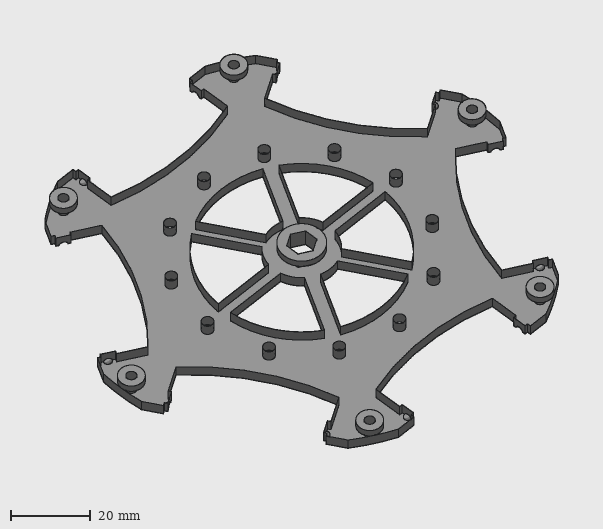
import cadquery as cq
import math

plate_thickness = 3.17
boss_height = 2.0
outer_radius = 65.0
arm_count = 6
arm_pitch = 360.0 / arm_count

bay_half_width = 21.0
bay_corner_y = 46.06
bay_floor_y = 42.9
arm_end_y = 59.3

pad_offset = 0.9
pad_inner_y = 54.3
pad_outer_y = 58.3

dimple_radius = 1.2
dimple_center_z = -0.25

window_radius = 28.0
hub_radius = 10.0
spoke_width = 4.2
hub_boss_radius = 6.25
hex_across_flats = 6.8
hex_sides = 6

arm_boss_center_radius = 61.5
arm_boss_radius = outer_radius - arm_boss_center_radius
arm_hole_diameter = 2.8
rim_hole_count = 12
rim_hole_circle_radius = 34.0
rim_hole_diameter = 3.2


def around_axis(shape):
    """Union of copies of a shape, one per arm, turned about Z."""
    copies = shape
    for index in range(1, arm_count):
        turned = shape.rotate((0, 0, 0), (0, 0, 1), index * arm_pitch)
        copies = copies.union(turned)
    return copies


def make_bay():
    """Cutter for one bay: concave floor, parallel flanks and straight arm ends."""
    end_x = math.sqrt(outer_radius**2 - arm_end_y**2)
    return (
        cq.Workplane("XY")
        .moveTo(-bay_half_width, bay_corner_y)
        .threePointArc((0, bay_floor_y), (bay_half_width, bay_corner_y))
        .lineTo(bay_half_width, arm_end_y)
        .lineTo(end_x, arm_end_y)
        .lineTo(end_x, outer_radius)
        .lineTo(-end_x, outer_radius)
        .lineTo(-end_x, arm_end_y)
        .lineTo(-bay_half_width, arm_end_y)
        .close()
        .extrude(plate_thickness)
    )


def make_pad(side):
    """Pad on one flank of the +Y bay; side is -1 or +1."""
    return (
        cq.Workplane("XY")
        .center(side * (bay_half_width - pad_offset / 2), (pad_inner_y + pad_outer_y) / 2)
        .rect(pad_offset, pad_outer_y - pad_inner_y)
        .extrude(plate_thickness)
    )


def make_dimple(side):
    """Ball cutter sunk into one pad face of the +Y bay, breaking out through the underside."""
    pad_face_x = bay_half_width - pad_offset
    pad_middle_y = (pad_inner_y + pad_outer_y) / 2
    ball = cq.Workplane("XY").sphere(dimple_radius)
    return ball.translate((side * pad_face_x, pad_middle_y, dimple_center_z))


def make_outline():
    """Solid six-armed plate with its pads and dimples."""
    plate = cq.Workplane("XY").circle(outer_radius).extrude(plate_thickness)
    plate = plate.cut(around_axis(make_bay()))
    for side in (-1, 1):
        plate = plate.union(around_axis(make_pad(side)))
        plate = plate.cut(around_axis(make_dimple(side)))
    return plate


def make_window():
    """Cutter for the openings between the rim, the spokes and the hub."""
    opening = cq.Workplane("XY").circle(window_radius).circle(hub_radius).extrude(plate_thickness)
    spoke = (
        cq.Workplane("XY")
        .center(window_radius / 2, 0)
        .rect(window_radius + spoke_width, spoke_width)
        .extrude(plate_thickness)
    )
    return opening.cut(around_axis(spoke))


def add_bosses(plate):
    """Hub boss and one boss at the end of every arm, standing on the plate."""
    top = cq.Workplane("XY").workplane(offset=plate_thickness)
    hub_boss = top.circle(hub_boss_radius).extrude(boss_height)
    arm_boss = top.center(arm_boss_center_radius, 0).circle(arm_boss_radius).extrude(boss_height)
    return plate.union(hub_boss).union(around_axis(arm_boss))


def cut_holes(body):
    """Hex bore with corners toward +Y and -Y, arm boss holes and the ring of rim holes, all through."""
    height = plate_thickness + boss_height
    hex_bore = (
        cq.Workplane("XY")
        .polygon(hex_sides, hex_across_flats / math.cos(math.pi / hex_sides))
        .extrude(height)
        .rotate((0, 0, 0), (0, 0, 1), 180 / hex_sides)
    )
    arm_holes = (
        cq.Workplane("XY")
        .polarArray(arm_boss_center_radius, 0, 360, arm_count)
        .circle(arm_hole_diameter / 2)
        .extrude(height)
    )
    rim_holes = (
        cq.Workplane("XY")
        .polarArray(rim_hole_circle_radius, 0, 360, rim_hole_count)
        .circle(rim_hole_diameter / 2)
        .extrude(height)
    )
    return body.cut(hex_bore).cut(arm_holes).cut(rim_holes)


plate = make_outline().cut(make_window())
result = cut_holes(add_bosses(plate))